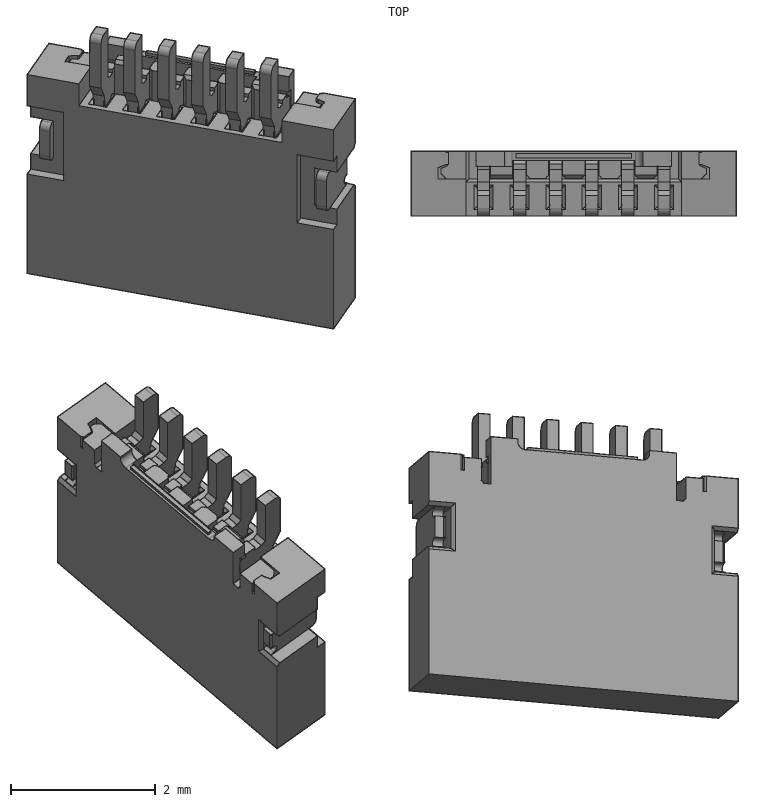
import cadquery as cq

LENGTH = 4.5
DEPTH = 0.9
EAR_TOP = 3.205
FLOOR_Z = 2.855
NOTCH_HALF = 1.49

PITCH = 0.5
PIN_COUNT = 6
PIN_WIDTH = 0.17
PIN_TOP = 4.0
PIN_THICK = 0.285
PIN_ROUND = 0.1
PIN_HEEL_Z = 3.2
PIN_FOOT_Z = 2.992
PIN_FOOT_Y = 0.14
ARM_LOW_Z = 3.18
ARM_HIGH_Z = 3.235
ARM_CORNER_RUN = 0.07
ARM_CORNER_RISE = 0.045
ARM_STEP_Y = 0.472
ARM_RAISED_END_Y = 0.65
ARM_TAIL_SLOPE = 0.05
FOOT_STEP_Z = 2.905
FOOT_STEP = 0.02
PIN_ROOT_Z = 2.61

POCKET_WIDTH = 0.265
POCKET_FRONT = 0.09
POCKET_BACK = 0.43
POCKET_TAPER = (POCKET_WIDTH - PIN_WIDTH) / 2

MOUTH_FRONT = 0.472
MOUTH_BEVEL = 0.04

COMB_HALF = 1.35
COMB_WALL_Y = 0.77
COMB_TOP = 3.352
COLUMN_WIDTH = 0.305
COLUMN_FRONT = 0.518
COLUMN_LOW_TOP = 3.308
COLUMN_BEVEL = 0.05
COLUMN_STYLES = [
    (COMB_TOP, True, False),
    (COLUMN_LOW_TOP, False, True),
    (COLUMN_LOW_TOP, True, True),
    (COLUMN_LOW_TOP, False, True),
    (COMB_TOP, True, True),
]
RAIL_HALF = 0.795
RAIL_FRONT = 0.805
RAIL_BACK = 0.865
RAIL_TOP = 3.398

BLOCK_TOP = 3.495
BLOCK_UNDERSIDE = 3.25
BLOCK_FRONT = 0.69
BLOCK_INNER = 0.96
BLOCK_FILLET = 0.105

RECESS_INNER = 1.715
RECESS_BOTTOM = 1.6
RECESS_TOP = 2.7
RECESS_DEPTH = 0.145
WINDOW_INNER = 1.915
WINDOW_BOTTOM = 1.85
WINDOW_TOP = 2.445
WINDOW_BEVEL = 0.05
TAB_WIDTH = 0.155
TAB_LEFT_X = -WINDOW_INNER - TAB_WIDTH
TAB_RIGHT_X = 1.995
TAB_ROUND = 0.095
TAB_BACK = 0.85
TAB_BEVEL_HALF = 0.145
TAB_BEVEL = 0.025
NOTCH_RADIUS = 0.06
NOTCH_FLARE = 0.02
NOTCH_Y = 0.795
NOTCH_OFFSET = 0.21

LATCH_DROP = 0.04
LATCH_FRONT = 0.515
LATCH_NECK_X = 1.735
HOOK_X = 1.875
HOOK_SHOULDER_Y = 0.67
HOOK_TIP = (1.765, 0.715)
GAP_DEPTH = 0.225
GAP_INNER = [(1.75, 0.698), (1.84, 0.655), (1.84, 0.59), (1.765, LATCH_FRONT)]
REAR_NICK = 0.022


def box(x0, x1, y0, y1, z0, z1):
    return cq.Workplane("XY").box(x1 - x0, y1 - y0, z1 - z0, centered=False).translate((x0, y0, z0))


def prism_x(points, x0, x1):
    """Extrude a (y, z) outline from x0 to x1."""
    return cq.Workplane("YZ").polyline(points).close().extrude(x1 - x0).translate((x0, 0, 0))


def pocket(width, y0, y1, bevel):
    """Sunk rectangle whose walls slope inward from the notch floor."""
    return (
        cq.Workplane("XY", origin=(0, (y0 + y1) / 2, FLOOR_Z))
        .rect(width, y1 - y0)
        .workplane(offset=-bevel)
        .rect(width - 2 * bevel, y1 - y0 - 2 * bevel)
        .loft(ruled=True)
    )


def both_sides(shape):
    return shape.union(shape.mirror("YZ"))


pin_xs = [(i - (PIN_COUNT - 1) / 2) * PITCH for i in range(PIN_COUNT)]
column_xs = [(left + right) / 2 for left, right in zip(pin_xs, pin_xs[1:])]


def side_window():
    """Opening through the +X side, flared toward the rear face."""
    outer = LENGTH / 2
    opening = box(WINDOW_INNER, outer, 0, DEPTH, WINDOW_BOTTOM, WINDOW_TOP)
    height = WINDOW_TOP - WINDOW_BOTTOM
    reach = outer - WINDOW_INNER
    flare = (
        cq.Workplane("XZ", origin=(outer, DEPTH, (WINDOW_BOTTOM + WINDOW_TOP) / 2))
        .rect(2 * (reach + WINDOW_BEVEL), height + 2 * WINDOW_BEVEL)
        .workplane(offset=WINDOW_BEVEL)
        .rect(2 * reach, height)
        .loft(ruled=True)
    )
    return opening.union(flare)


def ear_cut(points, depth):
    """Outline sunk into the top of the +X ear."""
    return cq.Workplane("XY", origin=(0, 0, EAR_TOP - depth)).polyline(points).close().extrude(depth)


def latch_cut():
    """Sunk latch face, the gap around its hook and the nick at its rear edge."""
    hook = [(HOOK_X, LATCH_FRONT), (HOOK_X, HOOK_SHOULDER_Y), HOOK_TIP]
    neck = [(LATCH_NECK_X, HOOK_TIP[1]), (LATCH_NECK_X, DEPTH)]
    inner = [(NOTCH_HALF, DEPTH), (NOTCH_HALF, LATCH_FRONT)]
    nick = [
        (LATCH_NECK_X, DEPTH - REAR_NICK),
        (LATCH_NECK_X + REAR_NICK, DEPTH - REAR_NICK),
        (LATCH_NECK_X + 2 * REAR_NICK, DEPTH),
        (LATCH_NECK_X, DEPTH),
    ]
    face = ear_cut(hook + neck + inner, LATCH_DROP)
    return face.union(ear_cut(hook + GAP_INNER, GAP_DEPTH)).union(ear_cut(nick, GAP_DEPTH))


def housing():
    body = box(-LENGTH / 2, LENGTH / 2, 0, DEPTH, 0, EAR_TOP)
    body = body.cut(box(-NOTCH_HALF, NOTCH_HALF, 0, DEPTH, FLOOR_Z, EAR_TOP))
    recess = box(RECESS_INNER, LENGTH / 2, 0, RECESS_DEPTH, RECESS_BOTTOM, RECESS_TOP)
    body = body.cut(both_sides(recess))
    body = body.cut(both_sides(side_window()))
    body = body.cut(both_sides(latch_cut()))
    body = body.cut(pocket(2 * NOTCH_HALF, MOUTH_FRONT, DEPTH + MOUTH_BEVEL, MOUTH_BEVEL))
    for x in pin_xs:
        body = body.cut(pocket(POCKET_WIDTH, POCKET_FRONT, POCKET_BACK, POCKET_TAPER).translate((x, 0, 0)))
    return body


def column(x, top, top_bevel, side_bevel):
    x0 = x - COLUMN_WIDTH / 2
    post = box(x0, x0 + COLUMN_WIDTH, COLUMN_FRONT, COMB_WALL_Y, FLOOR_Z - MOUTH_BEVEL, top)
    edges = ([">Z"] if top_bevel else []) + (["|Z"] if side_bevel else [])
    if edges:
        post = post.faces("<Y").edges(" or ".join(edges)).chamfer(COLUMN_BEVEL)
    return post


def end_block():
    """Raised block on the +X end, blended down to the comb top by a hollow round."""
    foot_x = BLOCK_INNER - BLOCK_FILLET
    center_z = COMB_TOP + BLOCK_FILLET
    mid = BLOCK_FILLET * 0.5 ** 0.5
    return (
        cq.Workplane("XZ", origin=(0, DEPTH, 0))
        .moveTo(foot_x, BLOCK_UNDERSIDE)
        .lineTo(COMB_HALF, BLOCK_UNDERSIDE)
        .lineTo(COMB_HALF, BLOCK_TOP)
        .lineTo(BLOCK_INNER, BLOCK_TOP)
        .lineTo(BLOCK_INNER, center_z)
        .threePointArc((foot_x + mid, center_z - mid), (foot_x, COMB_TOP))
        .close()
        .extrude(DEPTH - BLOCK_FRONT)
    )


def comb():
    base = FLOOR_Z - MOUTH_BEVEL
    part = box(-COMB_HALF, COMB_HALF, COMB_WALL_Y, DEPTH, base, COMB_TOP)
    part = part.union(box(-RAIL_HALF, RAIL_HALF, RAIL_FRONT, RAIL_BACK, COMB_TOP, RAIL_TOP))
    for x, (top, top_bevel, side_bevel) in zip(column_xs, COLUMN_STYLES):
        part = part.union(column(x, top, top_bevel, side_bevel))
    return part.union(both_sides(end_block()))


def terminal():
    half = PIN_WIDTH / 2
    profile = [
        (0, PIN_HEEL_Z),
        (0, PIN_TOP),
        (PIN_THICK, PIN_TOP),
        (PIN_THICK, ARM_LOW_Z + ARM_CORNER_RISE),
        (PIN_THICK + ARM_CORNER_RUN, ARM_LOW_Z),
        (ARM_STEP_Y, ARM_LOW_Z),
        (ARM_STEP_Y, ARM_HIGH_Z),
        (ARM_RAISED_END_Y, ARM_HIGH_Z),
        (ARM_RAISED_END_Y, ARM_LOW_Z),
        (COMB_WALL_Y - ARM_TAIL_SLOPE, ARM_LOW_Z),
        (COMB_WALL_Y, ARM_LOW_Z - ARM_TAIL_SLOPE),
        (COMB_WALL_Y, PIN_ROOT_Z),
        (PIN_FOOT_Y, PIN_ROOT_Z),
        (PIN_FOOT_Y, PIN_FOOT_Z),
    ]
    pin = prism_x(profile, -half, half).faces(">Z").edges("<Y").fillet(PIN_ROUND)
    corner = box(half - FOOT_STEP, half, PIN_FOOT_Y, PIN_FOOT_Y + FOOT_STEP, PIN_ROOT_Z, FOOT_STEP_Z)
    return pin.cut(both_sides(corner))


def solder_tab(x):
    mid_z = (WINDOW_BOTTOM + WINDOW_TOP) / 2
    tab = box(x, x + TAB_WIDTH, 0, TAB_BACK, WINDOW_BOTTOM, WINDOW_TOP)
    tab = tab.faces("<Y").edges("|X").fillet(TAB_ROUND)
    bevel = (
        cq.Workplane("XY", origin=(x, TAB_BACK, mid_z - TAB_BEVEL_HALF))
        .polyline([(0, 0), (TAB_BEVEL, 0), (0, -TAB_BEVEL)]).close()
        .extrude(2 * TAB_BEVEL_HALF)
    )
    tab = tab.cut(bevel)
    for side in (-1, 1):
        center_z = mid_z + side * NOTCH_OFFSET
        inner_z = center_z - side * NOTCH_RADIUS
        outer_z = center_z + side * NOTCH_RADIUS
        mouth = [
            (NOTCH_Y, inner_z),
            (TAB_BACK, inner_z),
            (TAB_BACK, outer_z + side * NOTCH_FLARE),
            (NOTCH_Y, outer_z),
        ]
        tip = cq.Workplane("YZ", origin=(x, NOTCH_Y, center_z)).circle(NOTCH_RADIUS).extrude(TAB_WIDTH)
        tab = tab.cut(tip).cut(prism_x(mouth, x, x + TAB_WIDTH))
    return tab


result = housing().union(comb())
for pin_x in pin_xs:
    result = result.union(terminal().translate((pin_x, 0, 0)))
for tab_x in (TAB_LEFT_X, TAB_RIGHT_X):
    result = result.union(solder_tab(tab_x))